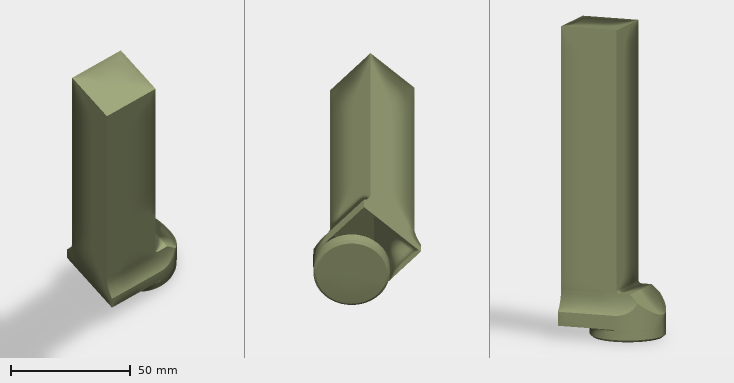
import cadquery as cq
import math

total_height = 132.32
total_depth = 41.15
head_width = 32.3
shank_size = 25.0

insert_radius = 16.0
insert_center_y = total_depth - insert_radius
insert_height = 4.76
insert_chamfer_height = 1.0
insert_chamfer_inset = 1.2

seat_height = 0.56
seat_inset = 0.4

nose_radius = head_width / 2
nose_center_y = total_depth - nose_radius
head_bottom = insert_height + seat_height
head_wall_height = 6.0
flare_radius = 12.5
nose_slope_start_y = 31.0
nose_slope_drop = 9.8
root_fillet_radius = 1.5

flare_width = (head_width - shank_size) / 2
flare_height = math.sqrt(flare_radius**2 - (flare_radius - flare_width) ** 2)
head_wall_top = head_bottom + head_wall_height
head_top = head_wall_top + flare_height


def make_shank():
    """Square bar standing on the head, running to the top of the part."""
    height = total_height - head_bottom
    bar = cq.Workplane("XY").box(shank_size, shank_size, height, centered=(True, False, False))
    return bar.translate((0, 0, head_bottom))


def make_flared_profile():
    """Width profile of the head, drawn in XZ and extruded along the full depth."""
    half_shank = shank_size / 2
    half_head = head_width / 2
    half_sweep = math.asin(flare_height / flare_radius) / 2
    mid_x = half_shank + flare_radius * (1 - math.cos(half_sweep))
    mid_z = head_top - flare_radius * math.sin(half_sweep)
    return (
        cq.Workplane("XZ")
        .moveTo(-half_head, head_bottom)
        .lineTo(half_head, head_bottom)
        .lineTo(half_head, head_wall_top)
        .threePointArc((mid_x, mid_z), (half_shank, head_top))
        .lineTo(-half_shank, head_top)
        .threePointArc((-mid_x, mid_z), (-half_head, head_wall_top))
        .close()
        .extrude(-total_depth)
    )


def make_nose_outline():
    """Plan outline of the head: straight sides ending in a round nose."""
    return (
        cq.Workplane("XY")
        .workplane(offset=head_bottom)
        .moveTo(-nose_radius, 0)
        .lineTo(nose_radius, 0)
        .lineTo(nose_radius, nose_center_y)
        .threePointArc((0, total_depth), (-nose_radius, nose_center_y))
        .close()
        .extrude(head_top - head_bottom)
    )


def make_side_profile():
    """Depth profile of the head, with the nose sloping down towards its tip."""
    return (
        cq.Workplane("YZ")
        .moveTo(0, head_bottom)
        .lineTo(total_depth, head_bottom)
        .lineTo(total_depth, head_top - nose_slope_drop)
        .lineTo(nose_slope_start_y, head_top)
        .lineTo(0, head_top)
        .close()
        .extrude(head_width / 2, both=True)
    )


def make_head():
    return make_flared_profile().intersect(make_nose_outline()).intersect(make_side_profile())


def make_root_fillet():
    """Concave strip in the corner between the shank's front face and the head's top."""
    outer_y = shank_size + root_fillet_radius
    outer_z = head_top + root_fillet_radius
    arc_offset = root_fillet_radius * math.sqrt(0.5)
    return (
        cq.Workplane("YZ")
        .moveTo(shank_size, head_top)
        .lineTo(outer_y, head_top)
        .threePointArc((outer_y - arc_offset, outer_z - arc_offset), (shank_size, outer_z))
        .close()
        .extrude(shank_size / 2, both=True)
    )


def make_insert_and_seat():
    """Chamfered insert disc and the tapered seat above it, revolved about their common axis."""
    seat_radius = insert_radius - seat_inset
    return (
        cq.Workplane("XZ")
        .lineTo(insert_radius - insert_chamfer_inset, 0)
        .lineTo(insert_radius, insert_chamfer_height)
        .lineTo(insert_radius, insert_height)
        .lineTo(seat_radius, insert_height)
        .lineTo(insert_radius, head_bottom)
        .lineTo(0, head_bottom)
        .close()
        .revolve()
        .translate((0, insert_center_y, 0))
    )


def make_nose_seat():
    """Half disc under the nose, where the seat runs straight up, flush with the insert."""
    return (
        cq.Workplane("XY")
        .workplane(offset=insert_height)
        .moveTo(-insert_radius, insert_center_y)
        .lineTo(insert_radius, insert_center_y)
        .threePointArc((0, total_depth), (-insert_radius, insert_center_y))
        .close()
        .extrude(seat_height)
    )


result = (
    make_head()
    .union(make_shank())
    .union(make_root_fillet())
    .union(make_insert_and_seat())
    .union(make_nose_seat())
)